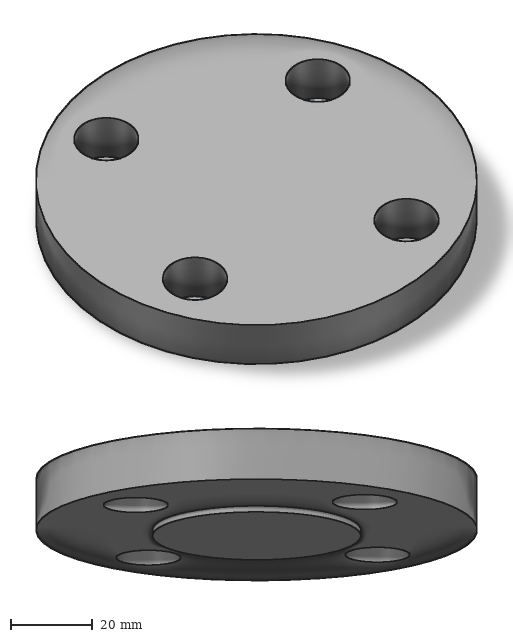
import cadquery as cq

flange_diameter = 107.9
total_height = 14.2
raised_face_diameter = 50.9
raised_face_height = 1.5
flange_thickness = total_height - raised_face_height

bolt_hole_diameter = 15.8
bolt_circle_diameter = 79.3
bolt_count = 4


def make_disc():
    """Main disc, sitting directly above the raised face."""
    return (
        cq.Workplane("XY", origin=(0, 0, raised_face_height))
        .circle(flange_diameter / 2)
        .extrude(flange_thickness)
    )


def make_raised_face():
    """Low round sealing face on the underside, starting at Z = 0."""
    return cq.Workplane("XY").circle(raised_face_diameter / 2).extrude(raised_face_height)


def make_bolt_holes():
    """Through holes evenly spaced on the bolt circle, the first one on +X."""
    return (
        cq.Workplane("XY")
        .polarArray(bolt_circle_diameter / 2, 0, 360, bolt_count)
        .circle(bolt_hole_diameter / 2)
        .extrude(total_height)
    )


result = make_disc().union(make_raised_face()).cut(make_bolt_holes())